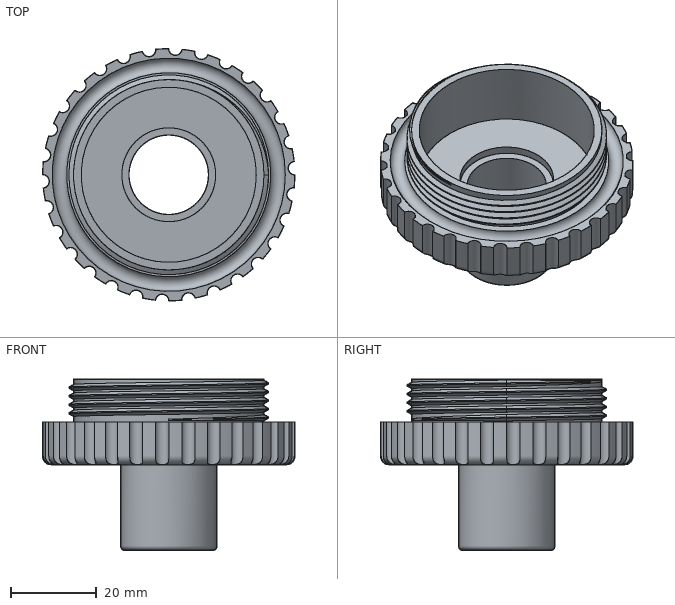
import cadquery as cq
import math

flange_radius = 29.45
flange_height = 10.0
flange_fillet = 2.0
grip_notch_count = 30
grip_notch_radius = 1.55
grip_notch_center_radius = 29.5
grip_notch_first_angle = 3.0

groove_center_radius = 25.5
groove_radius = 1.7

stem_radius = 22.5 / 2
stem_length = 20.0
stem_fillet = 1.0

thread_major_radius = 46.6 / 2
thread_pitch = 2.0
thread_turns = 4
thread_depth = 5 / 8 * thread_pitch * math.sqrt(3) / 2
thread_root_radius = thread_major_radius - thread_depth
thread_root_width = 3 / 4 * thread_pitch
thread_crest_width = thread_pitch / 8
fade_turns = 1 / 4
points_per_turn = 96

collar_height = 10.0
cup_radius = 40.84 / 2
cup_depth = 16.0
seat_radius = 21.9 / 2
seat_depth = 2.0
bore_radius = 18.5 / 2

flange_bottom = -flange_height
stem_bottom = flange_bottom - stem_length
cup_floor = collar_height - cup_depth
seat_floor = cup_floor - seat_depth
thread_start_z = (collar_height - thread_turns * thread_pitch) / 2
thread_end_z = thread_start_z + thread_turns * thread_pitch


def make_housing():
    """Turned body with the stepped bore, the ring groove and the grip notches."""
    turned = (
        cq.Workplane("XZ")
        .moveTo(bore_radius, stem_bottom)
        .lineTo(stem_radius - stem_fillet, stem_bottom)
        .radiusArc((stem_radius, stem_bottom + stem_fillet), -stem_fillet)
        .lineTo(stem_radius, flange_bottom)
        .lineTo(flange_radius - flange_fillet, flange_bottom)
        .radiusArc((flange_radius, flange_bottom + flange_fillet), -flange_fillet)
        .lineTo(flange_radius, 0)
        .lineTo(groove_center_radius + groove_radius, 0)
        .threePointArc((groove_center_radius, -groove_radius), (groove_center_radius - groove_radius, 0))
        .lineTo(thread_root_radius, 0)
        .lineTo(thread_root_radius, collar_height)
        .lineTo(cup_radius, collar_height)
        .lineTo(cup_radius, cup_floor)
        .lineTo(seat_radius, cup_floor)
        .lineTo(seat_radius, seat_floor)
        .lineTo(bore_radius, seat_floor)
        .close()
        .revolve(360, (0, 0, 0), (0, 1, 0))
    )
    notches = (
        cq.Workplane("XY")
        .workplane(offset=flange_bottom)
        .polarArray(grip_notch_center_radius, grip_notch_first_angle, 360, grip_notch_count)
        .circle(grip_notch_radius)
        .extrude(flange_height)
    )
    return turned.cut(notches)


def full_profile(fraction):
    """Share of the full thread size along a complete turn: constant, in height and in root spread."""
    return 1.0, 1.0


def fade_out_profile(fraction):
    """Height and root spread of a thread end that sinks into the collar, down to a short line."""
    return 1 - math.sin(fraction * math.pi / 2), 1 - fraction


def fade_in_profile(fraction):
    """Mirror of the fade-out: the thread rises out of the collar."""
    return fade_out_profile(1 - fraction)


def thread_edge(start_z, start_turn, turns, profile, is_crest, side):
    """One of the four long edges of a thread piece; side is +1 for the upper flank, -1 for the lower."""
    steps = round(points_per_turn * turns)
    points = []
    for step in range(steps + 1):
        fraction = step / steps
        height_share, spread_share = profile(fraction)
        radius = thread_root_radius
        width = thread_crest_width
        if is_crest:
            radius += thread_depth * height_share
        else:
            width += (thread_root_width - thread_crest_width) * spread_share
        angle = 2 * math.pi * (start_turn + turns * fraction)
        z = start_z + thread_pitch * turns * fraction + side * width / 2
        points.append(cq.Vector(radius * math.cos(angle), radius * math.sin(angle), z))
    return cq.Edge.makeSpline(points)


def make_thread_piece(start_z, start_turn, turns, profile):
    """Solid between four long edges, closed by flat faces where the thread has its full size."""
    corners = [(False, -1), (True, -1), (True, 1), (False, 1)]
    edges = [thread_edge(start_z, start_turn, turns, profile, *corner) for corner in corners]
    faces = []
    for index, edge in enumerate(edges):
        faces.append(cq.Face.makeRuledSurface(edges[index - 1], edge))
    for end in (0, 1):
        height_share, _ = profile(end)
        if height_share == 1:
            outline = cq.Wire.makePolygon([edge.positionAt(end) for edge in edges], close=True)
            faces.append(cq.Face.makeFromWires(outline))
    solid = cq.Solid.makeSolid(cq.Shell.makeShell(faces))
    return solid.fix()


housing = make_housing()

thread_loops = []
for loop in range(thread_turns):
    loop_z = thread_start_z + loop * thread_pitch
    thread_loops.append(make_thread_piece(loop_z, 0, 1, full_profile))

fade_in_z = thread_start_z - fade_turns * thread_pitch
thread_fade_in = make_thread_piece(fade_in_z, -fade_turns, fade_turns, fade_in_profile)
thread_fade_out = make_thread_piece(thread_end_z, 0, fade_turns, fade_out_profile)

result = cq.Compound.makeCompound([housing.val(), *thread_loops, thread_fade_in, thread_fade_out])